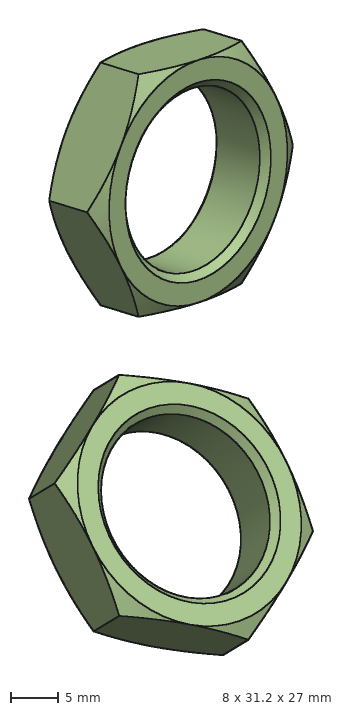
import cadquery as cq
import math

across_corners = 31.18
across_flats = across_corners * math.cos(math.radians(30))
thickness = 8.0
corner_chamfer_angle = 30.0
bore_diameter = 20.35
bore_mouth_diameter = 22.0

corner_radius = across_corners / 2
flat_radius = across_flats / 2
half_thickness = thickness / 2
corner_chamfer_depth = (corner_radius - flat_radius) * math.tan(math.radians(corner_chamfer_angle))
bore_chamfer = (bore_mouth_diameter - bore_diameter) / 2


def hexagonal_prism():
    """Plain hexagonal blank, centred on the origin."""
    return (
        cq.Workplane("YZ")
        .polygon(6, across_corners)
        .extrude(half_thickness, both=True)
    )


def nut_envelope():
    """Turned ring: conical outer ends and a bore countersunk at both ends."""
    bore_radius = bore_diameter / 2
    mouth_radius = bore_mouth_diameter / 2
    rim_x = half_thickness - corner_chamfer_depth
    bore_x = half_thickness - bore_chamfer
    profile = [
        (-half_thickness, mouth_radius),
        (-half_thickness, flat_radius),
        (-rim_x, corner_radius),
        (rim_x, corner_radius),
        (half_thickness, flat_radius),
        (half_thickness, mouth_radius),
        (bore_x, bore_radius),
        (-bore_x, bore_radius),
    ]
    return (
        cq.Workplane("XY")
        .polyline(profile)
        .close()
        .revolve(360, (0, 0, 0), (1, 0, 0))
    )


result = hexagonal_prism().intersect(nut_envelope())